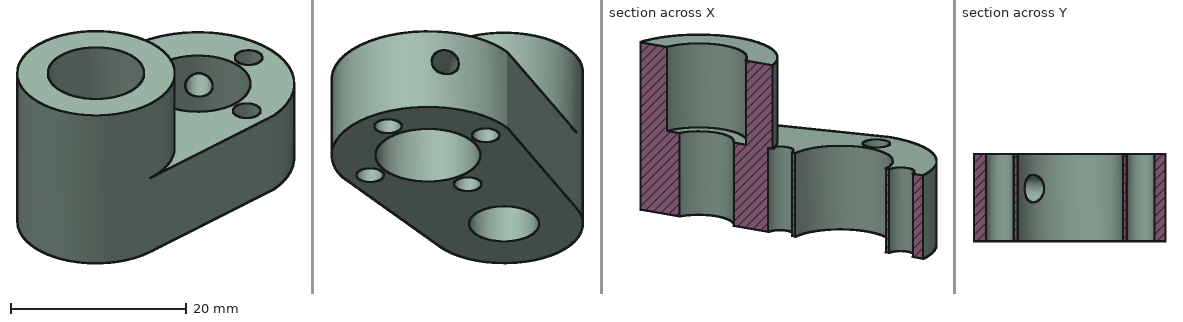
import cadquery as cq
import math

large_end_radius = 11.0
boss_radius = 18.0 / 2
total_length = 37.8
total_width = 21.9
plate_height = 9.98
total_height = 20.0

boss_x = 1.7
boss_y = -(total_length - large_end_radius - boss_radius)

large_bore_diameter = 12.0
boss_bore_diameter = 8.0
counterbore_diameter = 11.0
counterbore_depth = total_height - plate_height
small_hole_diameter = 3.15
bolt_circle_radius = 8.0
bolt_count = 4
radial_hole_height = 6.0
radial_hole_angle = 135.0


def boss_tangent_point(start, side):
    """Point where a line from start touches the boss; side is -1 for left, +1 for right."""
    to_start_x = start[0] - boss_x
    to_start_y = start[1] - boss_y
    distance = math.hypot(to_start_x, to_start_y)
    start_angle = math.atan2(to_start_y, to_start_x)
    angle = start_angle - side * math.acos(boss_radius / distance)
    return (boss_x + boss_radius * math.cos(angle), boss_y + boss_radius * math.sin(angle))


def make_plate():
    """Large round end and straight sides; the boss itself forms the smaller round end."""
    left_start = (-large_end_radius, 0)
    right_x = total_width - large_end_radius
    right_start = (right_x, math.sqrt(large_end_radius**2 - right_x**2))
    return (
        cq.Workplane("XY")
        .moveTo(*left_start)
        .threePointArc((0, large_end_radius), right_start)
        .lineTo(*boss_tangent_point(right_start, 1))
        .lineTo(*boss_tangent_point(left_start, -1))
        .close()
        .extrude(plate_height)
    )


def vertical_cylinder(x, y, diameter, bottom, height):
    return cq.Workplane("XY", origin=(x, y, bottom)).circle(diameter / 2).extrude(height)


def make_bolt_holes():
    return (
        cq.Workplane("XY")
        .polarArray(bolt_circle_radius, 0, 360, bolt_count)
        .circle(small_hole_diameter / 2)
        .extrude(plate_height)
    )


def make_radial_hole():
    """Cross hole from the large bore out through the rounded end, between two bolt holes."""
    angle = math.radians(radial_hole_angle)
    outward = cq.Vector(math.cos(angle), math.sin(angle), 0)
    start = cq.Vector(0, 0, radial_hole_height)
    length = 2 * large_end_radius
    return cq.Workplane(cq.Solid.makeCylinder(small_hole_diameter / 2, length, start, outward))


boss = vertical_cylinder(boss_x, boss_y, 2 * boss_radius, 0, total_height)
boss_bore = vertical_cylinder(boss_x, boss_y, boss_bore_diameter, 0, total_height)
counterbore = vertical_cylinder(
    boss_x, boss_y, counterbore_diameter, total_height - counterbore_depth, counterbore_depth
)
large_bore = vertical_cylinder(0, 0, large_bore_diameter, 0, plate_height)

result = (
    make_plate()
    .union(boss)
    .cut(large_bore)
    .cut(make_bolt_holes())
    .cut(make_radial_hole())
    .cut(boss_bore)
    .cut(counterbore)
)